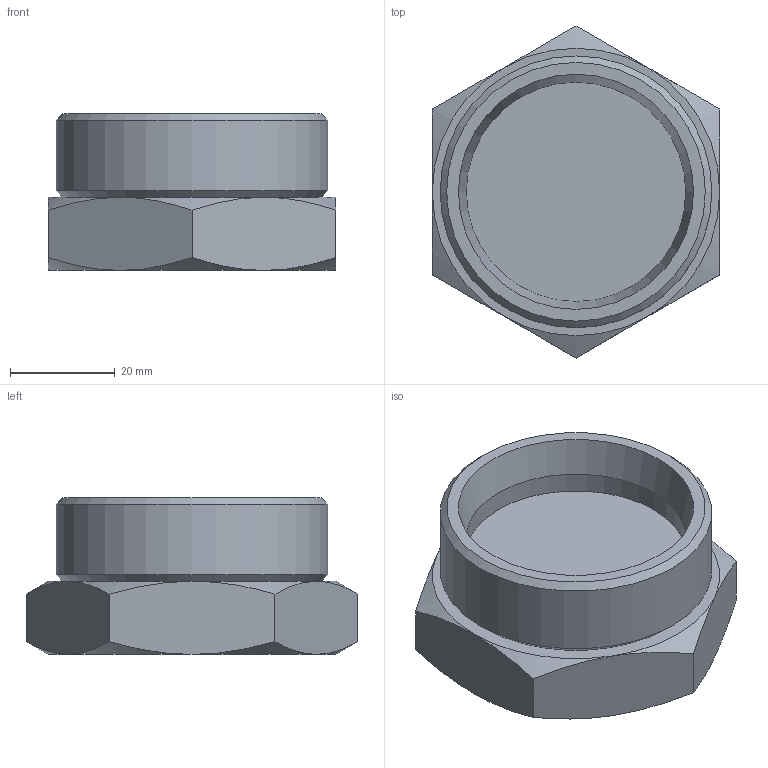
import cadquery as cq
import math

hexagon_sides = 6
across_flats = 55.0
across_corners = across_flats / math.cos(math.pi / hexagon_sides)
head_height = 14.0
corner_chamfer_angle = 30.0

total_height = 30.0
collar_diameter = 52.0
collar_chamfer = 1.25

mouth_diameter = 45.0
bore_diameter = 42.0
mouth_half_angle = 12.0
bore_depth = 11.0


def revolve_profile(points):
    """Solid of revolution about Z from (radius, height) points."""
    return cq.Workplane("XZ").polyline(points).close().revolve(360, (0, 0), (0, 1))


def make_head():
    """Hexagon with corners on the Y axis, both ends coned down to the flats."""
    hexagon = (
        cq.Workplane("XY")
        .polygon(hexagon_sides, across_corners)
        .extrude(head_height)
        .rotate((0, 0, 0), (0, 0, 1), 90)
    )
    flat_radius = across_flats / 2
    corner_radius = across_corners / 2
    corner_drop = (corner_radius - flat_radius) * math.tan(math.radians(corner_chamfer_angle))
    envelope = revolve_profile([
        (0, 0),
        (flat_radius, 0),
        (corner_radius, corner_drop),
        (corner_radius, head_height - corner_drop),
        (flat_radius, head_height),
        (0, head_height),
    ])
    return hexagon.intersect(envelope)


def make_collar():
    """Cylinder chamfered at its free end and where it meets the head."""
    return (
        cq.Workplane("XY")
        .workplane(offset=head_height)
        .circle(collar_diameter / 2)
        .extrude(total_height - head_height)
        .edges()
        .chamfer(collar_chamfer)
    )


def make_bore():
    """Conical mouth narrowing to a straight bore that ends in a flat floor."""
    mouth_radius = mouth_diameter / 2
    bore_radius = bore_diameter / 2
    mouth_depth = (mouth_radius - bore_radius) / math.tan(math.radians(mouth_half_angle))
    floor_height = total_height - bore_depth
    return revolve_profile([
        (0, total_height),
        (mouth_radius, total_height),
        (bore_radius, total_height - mouth_depth),
        (bore_radius, floor_height),
        (0, floor_height),
    ])


result = make_head().union(make_collar()).cut(make_bore())